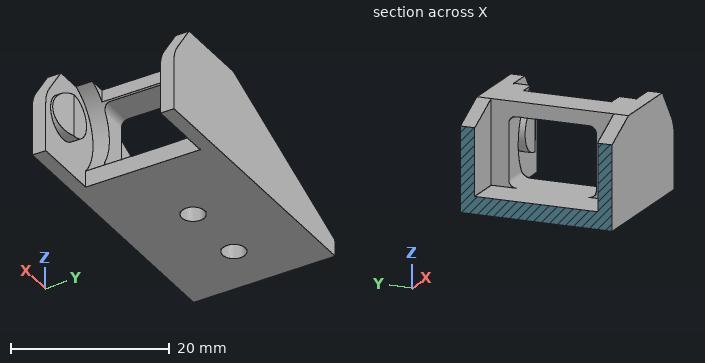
import cadquery as cq
import math

length = 39.6
width = 20.8
height = 13.8

floor_thickness = 2.4
side_thickness = 2.0
inner_half_width = width / 2 - side_thickness

wall_front_x = 25.0
wall_back_x = 32.2
notch_x = 29.8
window_width = 12.0
window_top_z = height - 2.0
window_corner_radius = 1.0

pivot_x = 35.3
pivot_z = 7.2
side_end_radius = length - pivot_x
side_top_end_x = 35.85
clearance_radius = math.hypot(pivot_x - wall_back_x, height - pivot_z)

boss_radius = 3.1
boss_height = 1.55
boss_tip_height = 0.3

hole_diameter = 3.3
hole_positions_x = (7.5, 17.5)


def box_between(x_range, y_range, z_range):
    """Axis-aligned box given by its limits along each axis."""
    spans = [high - low for low, high in (x_range, y_range, z_range)]
    corner = (x_range[0], y_range[0], z_range[0])
    return cq.Workplane("XY").box(*spans, centered=False).translate(corner)


def make_envelope():
    """Side outline across the full width: sloped front, flat top, rounded rear corner."""
    to_corner_x = side_top_end_x - pivot_x
    to_corner_z = height - pivot_z
    corner_angle = math.atan2(to_corner_z, to_corner_x)
    tangent_angle = corner_angle - math.acos(side_end_radius / math.hypot(to_corner_x, to_corner_z))

    def on_arc(angle):
        return (
            pivot_x + side_end_radius * math.cos(angle),
            pivot_z + side_end_radius * math.sin(angle),
        )

    return (
        cq.Workplane("XZ")
        .moveTo(0, 0)
        .lineTo(0, floor_thickness)
        .lineTo(wall_front_x, height)
        .lineTo(side_top_end_x, height)
        .lineTo(*on_arc(tangent_angle))
        .threePointArc(on_arc(tangent_angle / 2), on_arc(0))
        .lineTo(length, 0)
        .close()
        .extrude(width / 2, both=True)
    )


def make_front_pocket():
    """Open space above the floor, between the side plates, ahead of the cross wall."""
    inner_y = (-inner_half_width, inner_half_width)
    return box_between((0, wall_front_x), inner_y, (floor_thickness, height))


def make_window():
    """Rounded rectangular opening through the cross wall, level with the floor."""
    window_y = (-window_width / 2, window_width / 2)
    opening = box_between((wall_front_x, length), window_y, (floor_thickness, window_top_z))
    return opening.edges("|X").fillet(window_corner_radius)


def make_rear_space():
    """Stepped opening behind the cross wall, with a round clearance about the pivot axis.

    Below the pivot axis it reaches forward to the notch across the full inner width.
    """
    inner_y = (-inner_half_width, inner_half_width)
    notch_y = (-window_width / 2, window_width / 2)
    opening = box_between((wall_back_x, length), inner_y, (0, height))
    notch = box_between((notch_x, length), notch_y, (0, height))
    lower_opening = box_between((notch_x, length), inner_y, (0, pivot_z))
    clearance = (
        cq.Workplane("XZ")
        .center(pivot_x, pivot_z)
        .circle(clearance_radius)
        .extrude(inner_half_width, both=True)
    )
    return opening.union(notch).union(lower_opening).union(clearance)


def make_boss():
    """Round boss on the +Y side plate, flat ahead of the pivot axis and ramped behind it."""
    root_y = inner_half_width
    top_y = root_y - boss_height
    disc = (
        cq.Workplane("XZ", origin=(pivot_x, root_y, pivot_z))
        .circle(boss_radius)
        .extrude(boss_height)
    )
    ramp_profile = (
        cq.Workplane("XY")
        .moveTo(pivot_x - boss_radius, root_y)
        .lineTo(pivot_x - boss_radius, top_y)
        .lineTo(pivot_x, top_y)
        .lineTo(pivot_x + boss_radius, root_y - boss_tip_height)
        .lineTo(pivot_x + boss_radius, root_y)
        .close()
        .extrude(height)
    )
    return disc.intersect(ramp_profile)


def make_mounting_holes():
    """Through holes on the centre line of the floor."""
    centres = [(x, 0) for x in hole_positions_x]
    return (
        cq.Workplane("XY")
        .pushPoints(centres)
        .circle(hole_diameter / 2)
        .extrude(floor_thickness)
    )


boss = make_boss()
result = (
    make_envelope()
    .cut(make_front_pocket())
    .cut(make_window())
    .cut(make_rear_space())
    .cut(make_mounting_holes())
    .union(boss)
    .union(boss.mirror("XZ"))
)